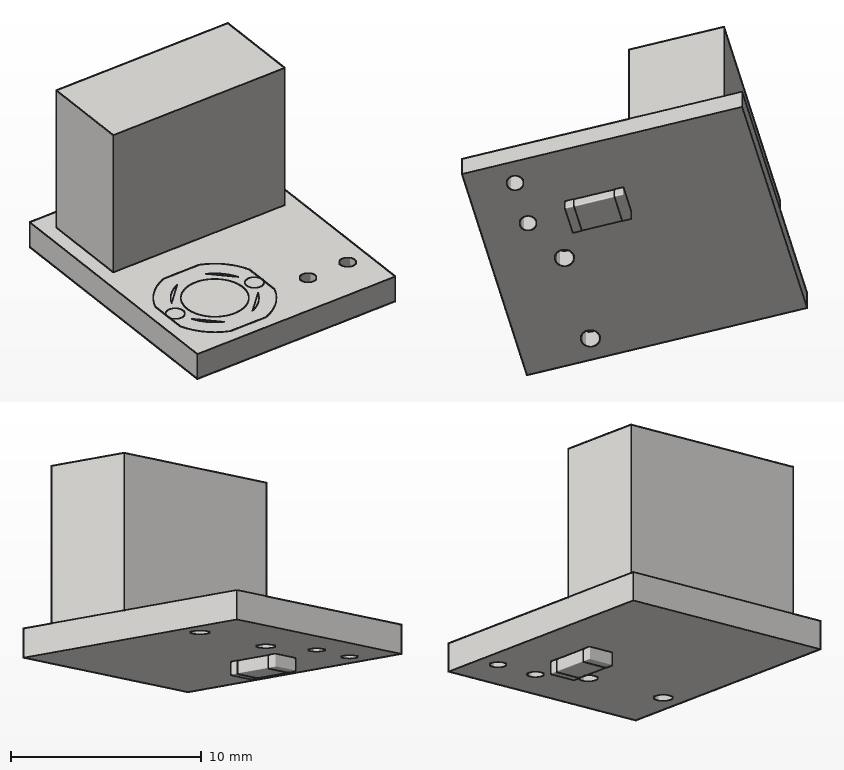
import cadquery as cq
import math

board_length = 15.24
grid_pitch = board_length / 6
board_width = 5 * grid_pitch
board_thickness = 1.57
open_hole_diameter = 0.88
open_hole_points = [(2 * grid_pitch, grid_pitch), (2 * grid_pitch, 2 * grid_pitch)]

block_length = 5.18
block_width = 11.0
block_height = 8.64
block_x = -1.5 * grid_pitch

chip_length = 3.2
chip_width = 1.6
chip_height = 0.75
chip_terminal_length = 0.5
chip_edge_radius = 0.06
chip_step = 0.008
chip_x = grid_pitch / 2
chip_y = grid_pitch

disk_x = 1.5 * grid_pitch
disk_y = -grid_pitch
disk_diameter = 6.46
disk_flat_width = 6.05
disk_thickness = 0.02
relief_depth = 0.008
disk_pad_diameter = 3.57
segment_radius = 2.32
segment_chord_offset = 2.15
covered_hole_diameter = 1.0
covered_hole_points = [(disk_x, disk_y + side * grid_pitch) for side in (-1, 1)]


def upright_box(length, width, height):
    """Box centred in X and Y with its base at Z = 0."""
    return cq.Workplane("XY").box(length, width, height, centered=(True, True, False))


def make_disk_blank():
    """Plain round plate with four flats, its top level with the top of the board."""
    round_plate = cq.Workplane("XY").circle(disk_diameter / 2).extrude(disk_thickness)
    blank = round_plate.intersect(upright_box(disk_flat_width, disk_flat_width, disk_thickness))
    return blank.translate((disk_x, disk_y, board_thickness - disk_thickness))


def make_board():
    """Slab with a shallow recess for the disk, two open holes and two holes under the disk."""
    slab = upright_box(board_length, board_width, board_thickness)
    for points, diameter in (
        (open_hole_points, open_hole_diameter),
        (covered_hole_points, covered_hole_diameter),
    ):
        drills = cq.Workplane("XY").pushPoints(points).circle(diameter / 2).extrude(board_thickness)
        slab = slab.cut(drills)
    return slab.cut(make_disk_blank())


def make_block():
    block = upright_box(block_length, block_width, block_height)
    return block.translate((block_x, 0, board_thickness))


def make_chip():
    """Slightly slimmer middle between two end terminals, all with rounded edges."""
    middle = (
        cq.Workplane("XY")
        .box(
            chip_length - 2 * chip_terminal_length,
            chip_width - 2 * chip_step,
            chip_height - 2 * chip_step,
        )
        .edges("|X")
        .fillet(chip_edge_radius)
    )
    terminal = (
        cq.Workplane("XY")
        .box(chip_terminal_length, chip_width, chip_height)
        .edges("|X")
        .fillet(chip_edge_radius)
    )
    terminal_x = (chip_length - chip_terminal_length) / 2
    chip = middle
    for side in (-1, 1):
        chip = chip.union(terminal.translate((side * terminal_x, 0, 0)))
    chip = chip.faces("<X or >X").edges().fillet(chip_edge_radius)
    return chip.translate((chip_x, chip_y, -chip_height / 2))


def make_disk():
    """Disk with a shallow sunken centre pad and four sunken segments around it."""
    sink_floor = board_thickness - relief_depth
    plane = cq.Workplane("XY", origin=(disk_x, disk_y, sink_floor))
    disk = make_disk_blank().cut(plane.circle(disk_pad_diameter / 2).extrude(relief_depth))

    half_chord = math.sqrt(segment_radius**2 - segment_chord_offset**2)
    segment = (
        plane.moveTo(segment_chord_offset, -half_chord)
        .threePointArc((segment_radius, 0), (segment_chord_offset, half_chord))
        .close()
        .extrude(relief_depth)
    )
    for angle in (45, 135, 225, 315):
        disk = disk.cut(segment.rotate((disk_x, disk_y, 0), (disk_x, disk_y, 1), angle))
    return disk


board = make_board().solids()
block = make_block().solids()
chip = make_chip().solids()
disk = make_disk().solids()

result = cq.Compound.makeCompound([board.val(), block.val(), chip.val(), disk.val()])